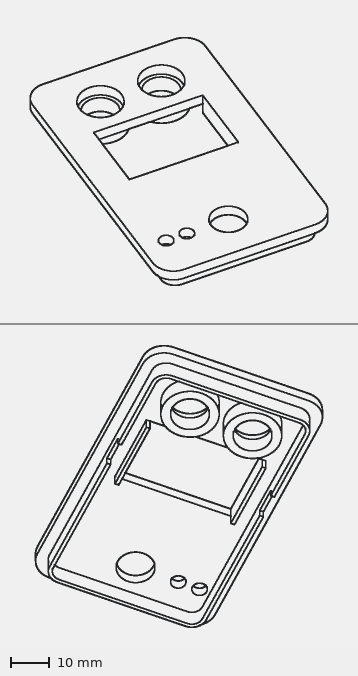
import cadquery as cq

LENGTH = 80.0
WIDTH = 50.0
HEIGHT = 8.0
PLATE_CORNER_RADIUS = 6.0

SKIRT_HEIGHT = 5.0
SKIRT_LENGTH = 74.0
SKIRT_INSET = (LENGTH - SKIRT_LENGTH) / 2
SKIRT_WIDTH = WIDTH - 2 * SKIRT_INSET
SKIRT_CORNER_RADIUS = 4.0
SKIRT_WALL = 1.0

WINDOW_LENGTH = 20.2
WINDOW_WIDTH = 31.5
WINDOW_CENTER_X = -7.4
RAIL_BOTTOM = 1.9
RAIL_THICKNESS = 1.0

SOCKET_X = -27.3
SOCKET_SPACING = 17.6
BOSS_DIAMETER = 15.0
BORE_DIAMETER = 10.0
COUNTERBORE_DIAMETER = 12.2
COUNTERBORE_DEPTH = 3.2

PLAIN_HOLES_X = 28.0
LARGE_HOLE_DIAMETER = 10.0
SMALL_HOLE_DIAMETER = 4.0
SMALL_HOLES_Y = (-12.0, -18.0)

NOTCH_WIDTH = 7.0
NOTCH_HEIGHT = 2.1
NOTCH_CENTER_X = -7.5

SOCKET_CENTERS = [(SOCKET_X, side * SOCKET_SPACING / 2) for side in (-1, 1)]


def rounded_block(length, width, bottom, top, radius):
    """Centred block with rounded vertical corners."""
    block = cq.Workplane("XY").workplane(offset=bottom).rect(length, width).extrude(top - bottom)
    return block.edges("|Z").fillet(radius)


def box_between(length, width, bottom, top, center_x, center_y):
    """Plain block placed by its centre and its Z range."""
    base = cq.Workplane("XY").workplane(offset=bottom).center(center_x, center_y)
    return base.rect(length, width).extrude(top - bottom)


def cylinders(centers, diameter, bottom, top):
    """Equal vertical cylinders at the given centres."""
    base = cq.Workplane("XY").workplane(offset=bottom).pushPoints(centers)
    return base.circle(diameter / 2).extrude(top - bottom)


def hollow_skirt():
    """Skirt wall with a notch through both long sides."""
    outer = rounded_block(SKIRT_LENGTH, SKIRT_WIDTH, 0, SKIRT_HEIGHT, SKIRT_CORNER_RADIUS)
    inner = rounded_block(
        SKIRT_LENGTH - 2 * SKIRT_WALL,
        SKIRT_WIDTH - 2 * SKIRT_WALL,
        0,
        SKIRT_HEIGHT,
        SKIRT_CORNER_RADIUS - SKIRT_WALL,
    )
    notch = box_between(NOTCH_WIDTH, WIDTH, 0, NOTCH_HEIGHT, NOTCH_CENTER_X, 0)
    return outer.cut(inner).cut(notch)


plate = rounded_block(LENGTH, WIDTH, SKIRT_HEIGHT, HEIGHT, PLATE_CORNER_RADIUS)
body = plate.union(hollow_skirt())

for side in (-1, 1):
    rail_y = side * (WINDOW_WIDTH + RAIL_THICKNESS) / 2
    body = body.union(
        box_between(WINDOW_LENGTH, RAIL_THICKNESS, RAIL_BOTTOM, SKIRT_HEIGHT, WINDOW_CENTER_X, rail_y)
    )

body = body.union(cylinders(SOCKET_CENTERS, BOSS_DIAMETER, 0, SKIRT_HEIGHT))
body = body.cut(cylinders(SOCKET_CENTERS, BORE_DIAMETER, 0, HEIGHT))
body = body.cut(cylinders(SOCKET_CENTERS, COUNTERBORE_DIAMETER, HEIGHT - COUNTERBORE_DEPTH, HEIGHT))

body = body.cut(box_between(WINDOW_LENGTH, WINDOW_WIDTH, 0, HEIGHT, WINDOW_CENTER_X, 0))
small_centers = [(PLAIN_HOLES_X, y) for y in SMALL_HOLES_Y]
body = body.cut(cylinders([(PLAIN_HOLES_X, 0)], LARGE_HOLE_DIAMETER, 0, HEIGHT))

result = body.cut(cylinders(small_centers, SMALL_HOLE_DIAMETER, 0, HEIGHT))